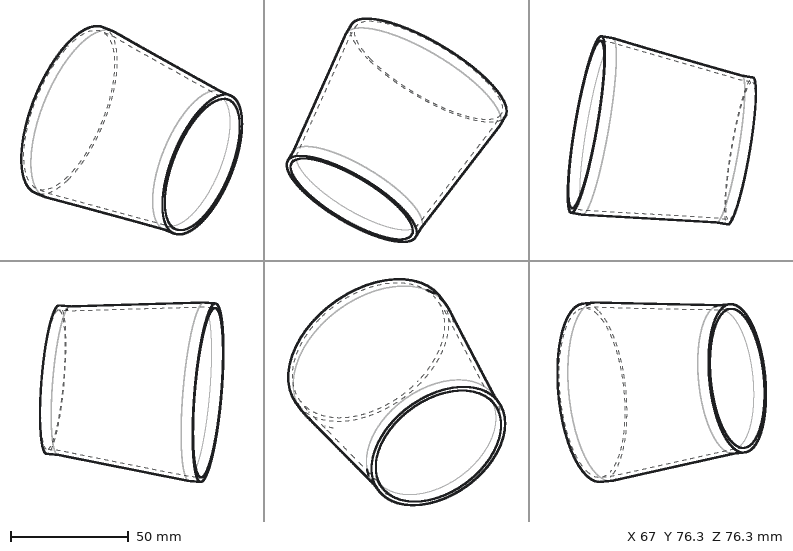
import cadquery as cq

length = 67.0
collar_length = 4.9
large_outer_diameter = 76.3
large_inner_diameter = 72.3
small_outer_diameter = 63.5
small_inner_diameter = 59.5
outer_blend_radius = 2.3


def reducer_body(large_diameter, small_diameter):
    """Solid of revolution about X: large collar, tapered middle, small collar."""
    large_radius = large_diameter / 2
    small_radius = small_diameter / 2
    return (
        cq.Workplane("XY")
        .lineTo(0, large_radius)
        .lineTo(collar_length, large_radius)
        .lineTo(length - collar_length, small_radius)
        .lineTo(length, small_radius)
        .lineTo(length, 0)
        .close()
        .revolve(360, (0, 0, 0), (1, 0, 0))
    )


def blend_collar_joints(body):
    """Round the two shallow circular edges where the cone meets the collars."""
    joints = cq.selectors.BoxSelector(
        (collar_length / 2, -large_outer_diameter, -large_outer_diameter),
        (length - collar_length / 2, large_outer_diameter, large_outer_diameter),
    )
    return body.edges("%CIRCLE").edges(joints).fillet(outer_blend_radius)


outer = blend_collar_joints(reducer_body(large_outer_diameter, small_outer_diameter))
bore = reducer_body(large_inner_diameter, small_inner_diameter)
result = outer.cut(bore)